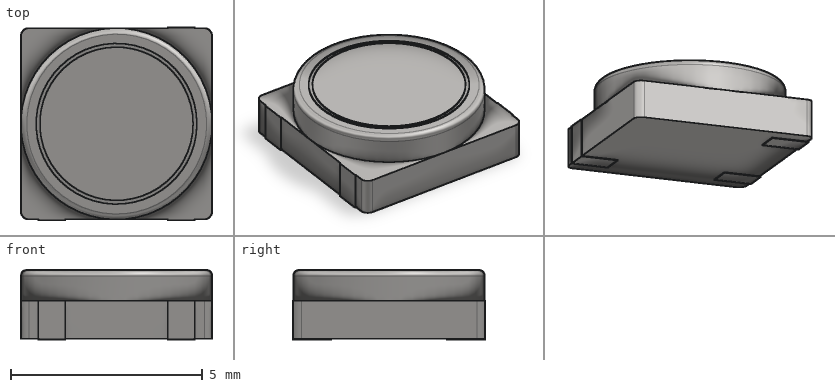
import cadquery as cq

base_side = 5.0
base_height = 1.0
corner_radius = 0.21

pad_thickness = 0.02
pad_width = 0.705
pad_center_x = 1.69
pad_foot_length = 1.0

cap_diameter = 5.0
cap_height = 0.8
cap_edge_radius = 0.15
groove_outer_diameter = 4.2
groove_inner_diameter = 4.0
groove_depth = 0.02

cap_top = base_height + cap_height


def make_pad(center_x, side):
    """L-shaped pad; side is -1 for the -Y face and +1 for the +Y face."""
    half_side = base_side / 2
    outer_y = half_side + pad_thickness
    inner_y = half_side - pad_foot_length
    profile = [
        (side * outer_y, base_height),
        (side * outer_y, -pad_thickness),
        (side * inner_y, -pad_thickness),
        (side * inner_y, 0),
        (side * half_side, 0),
        (side * half_side, base_height),
    ]
    return (
        cq.Workplane("YZ", origin=(center_x - pad_width / 2, 0, 0))
        .polyline(profile)
        .close()
        .extrude(pad_width)
    )


def make_base():
    """Block together with its three pads; the -X end of the +Y face is bare."""
    base = (
        cq.Workplane("XY")
        .rect(base_side, base_side)
        .extrude(base_height)
        .edges("|Z")
        .fillet(corner_radius)
    )
    pad_places = [(-pad_center_x, -1), (pad_center_x, -1), (pad_center_x, 1)]
    for center_x, side in pad_places:
        base = base.union(make_pad(center_x, side))
    return base


def make_cap():
    """Disc resting on the base, with the ring groove cut into its top."""
    disc = (
        cq.Workplane("XY", origin=(0, 0, base_height))
        .circle(cap_diameter / 2)
        .extrude(cap_height)
        .faces(">Z")
        .edges()
        .fillet(cap_edge_radius)
    )
    groove = (
        cq.Workplane("XY", origin=(0, 0, cap_top - groove_depth))
        .circle(groove_outer_diameter / 2)
        .circle(groove_inner_diameter / 2)
        .extrude(groove_depth)
    )
    return disc.cut(groove)


base = make_base()
cap = make_cap()

result = cq.Compound.makeCompound([base.val(), cap.val()])